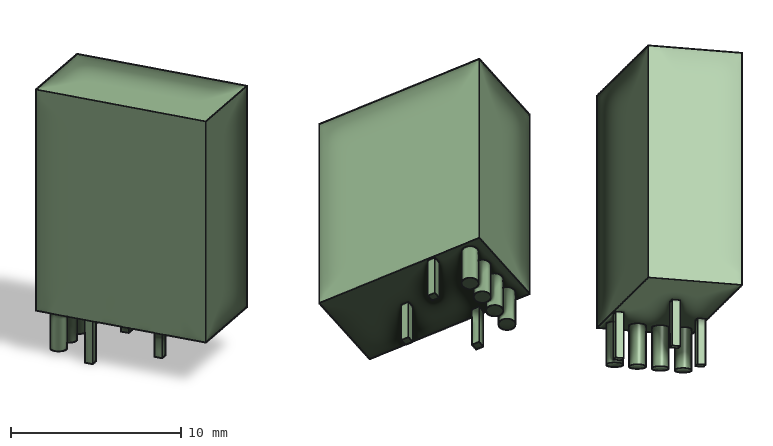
import cadquery as cq

body_length = 11.0
body_width = 5.73
overall_height = 16.99

contact_side = 0.5
contact_length = 2.8
contact_pitch_x = 3.33
contact_pitch_y = 2.5
outer_contact_inset = 3.36

post_count = 4
post_diameter = 1.0
post_length = 2.5
post_pitch = 1.4
post_inset = 1.1

body_height = overall_height - contact_length
outer_contact_x = outer_contact_inset - body_length / 2
middle_contact_x = outer_contact_x + contact_pitch_x
post_x = post_inset - body_length / 2

contact_places = [
    (outer_contact_x, -contact_pitch_y),
    (middle_contact_x, 0),
    (outer_contact_x, contact_pitch_y),
]
post_places = [
    (post_x, (index - (post_count - 1) / 2) * post_pitch)
    for index in range(post_count)
]


def make_body():
    outline = cq.Workplane("XY").rect(body_length, body_width)
    return outline.extrude(body_height)


def make_contacts():
    outlines = cq.Workplane("XY").pushPoints(contact_places).rect(contact_side, contact_side)
    return outlines.extrude(-contact_length)


def make_posts():
    outlines = cq.Workplane("XY").pushPoints(post_places).circle(post_diameter / 2)
    return outlines.extrude(-post_length)


result = make_body().union(make_contacts()).union(make_posts())